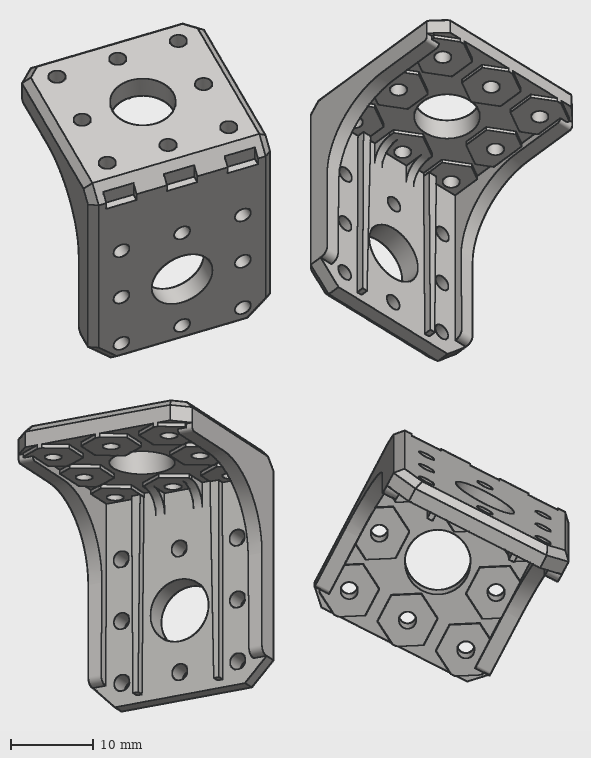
import cadquery as cq
import math

LENGTH = 24.0
WIDTH = 24.0
HEIGHT = 30.0
THICKNESS = 3.0
DRAFT = math.tan(math.radians(0.5))
OUTER_CHAMFER = 1.0
BEND_CHAMFER = 2.0
PLATE_CORNER = 2.0
WALL_CORNER = 3.0

CHEEK_DEPTH = 4.0
CHEEK_THICKNESS = 2.0
CHEEK_RADIUS = 10.0
CHEEK_FRONT_ROUND = 0.5
CHEEK_FOOT_ROUND = 1.0

PITCH = 8.0
HOLE_DIAMETER = 2.1
CENTRE_DIAMETER = 8.0
PLATE_CENTRE = (11.5, 0.0)
WALL_CENTRE = (0.0, 11.0)
GRID_STEPS = (-1, 0, 1)

PAD_FLATS = 6.36
PAD_HEIGHT = 0.5

RIB_DEPTH = 1.0
RIB_FOOT_Z = 1.0
RIB_TOP_INNER_Y = 4.82
RIB_TOP_OUTER_Y = 6.0
RIB_FOOT_INNER_Y = 5.22
RIB_FOOT_OUTER_Y = 5.94

GUSSET_INNER_Y = 2.0
GUSSET_WIDTH = 1.2
GUSSET_RADIUS = 2.7

NOTCH_WIDTH = 4.0
NOTCH_DEPTH = 1.0

HALF_WIDTH = WIDTH / 2
PLATE_BOTTOM = HEIGHT - THICKNESS
PAD_BOTTOM = PLATE_BOTTOM - PAD_HEIGHT
EMBED_X = LENGTH - OUTER_CHAMFER


def wall_inner_x(z):
    """X of the drafted inner face of the wall at height z."""
    return LENGTH - THICKNESS + (PLATE_BOTTOM - z) * DRAFT


def xz_prism(profile, y_min, y_max):
    """Extrude a closed XZ profile from y_min to y_max."""
    return profile.extrude(y_min - y_max).translate((0, y_min, 0))


def ring_points(centre):
    """The eight grid points around a centre."""
    return [
        (centre[0] + column * PITCH, centre[1] + row * PITCH)
        for column in GRID_STEPS
        for row in GRID_STEPS
        if (column, row) != (0, 0)
    ]


def make_block():
    """Solid envelope with clipped corners and chamfered top, bend and back faces."""
    profile = (
        cq.Workplane("XZ")
        .lineTo(0, HEIGHT)
        .lineTo(LENGTH - BEND_CHAMFER, HEIGHT)
        .lineTo(LENGTH, HEIGHT - BEND_CHAMFER)
        .lineTo(LENGTH, 0)
        .close()
    )
    block = xz_prism(profile, -HALF_WIDTH, HALF_WIDTH)
    block = block.edges("|Z and <X").chamfer(PLATE_CORNER)
    block = block.edges("|X and <Z").chamfer(WALL_CORNER)

    bend_edges = block.faces(">(1, 0, 1)").edges("|Y").vals()
    outer_edges = block.faces(">Z or >X or >(1, 0, 1)").edges().vals()
    chamfered = [edge for edge in outer_edges if not any(edge.isSame(kept) for kept in bend_edges)]
    return block.newObject(chamfered).chamfer(OUTER_CHAMFER)


def make_angle():
    """Plain plate and wall; the wall's inner face is drafted."""
    profile = (
        cq.Workplane("XZ")
        .moveTo(0, HEIGHT)
        .lineTo(LENGTH, HEIGHT)
        .lineTo(LENGTH, 0)
        .lineTo(wall_inner_x(0), 0)
        .lineTo(wall_inner_x(PLATE_BOTTOM), PLATE_BOTTOM)
        .lineTo(0, PLATE_BOTTOM)
        .close()
    )
    return xz_prism(profile, -HALF_WIDTH, HALF_WIDTH)


def make_cheek():
    """Side cheek at +Y with a large arc, drafted on its inner face."""
    front_x = PLATE_CORNER
    inner_x = LENGTH - CHEEK_DEPTH
    lower_z = HEIGHT - CHEEK_DEPTH
    foot_z = WALL_CORNER
    profile = (
        cq.Workplane("XZ")
        .moveTo(front_x, HEIGHT)
        .lineTo(front_x, lower_z + CHEEK_FRONT_ROUND)
        .radiusArc((front_x + CHEEK_FRONT_ROUND, lower_z), -CHEEK_FRONT_ROUND)
        .lineTo(inner_x - CHEEK_RADIUS, lower_z)
        .radiusArc((inner_x, lower_z - CHEEK_RADIUS), CHEEK_RADIUS)
        .lineTo(inner_x, foot_z + CHEEK_FOOT_ROUND)
        .radiusArc((inner_x + CHEEK_FOOT_ROUND, foot_z), -CHEEK_FOOT_ROUND)
        .lineTo(LENGTH, foot_z)
        .lineTo(LENGTH, HEIGHT)
        .close()
    )
    inner_y = HALF_WIDTH - CHEEK_THICKNESS
    drafted_zone = (
        cq.Workplane("YZ")
        .moveTo(inner_y, PLATE_BOTTOM)
        .lineTo(inner_y, HEIGHT)
        .lineTo(HALF_WIDTH, HEIGHT)
        .lineTo(HALF_WIDTH, 0)
        .lineTo(inner_y + PLATE_BOTTOM * DRAFT, 0)
        .close()
        .extrude(LENGTH)
    )
    return xz_prism(profile, 0, HALF_WIDTH).intersect(drafted_zone)


def make_pads():
    """Hexagonal pads around the plate's small holes, a corner of each pointing along X."""
    corner_diameter = PAD_FLATS / math.cos(math.pi / 6)
    pads = cq.Workplane("XY", origin=(0, 0, PAD_BOTTOM)).pushPoints(ring_points(PLATE_CENTRE))
    return pads.polygon(6, corner_diameter).extrude(THICKNESS)


def make_rib():
    """Tapering vertical rib at +Y, its front face parallel to the drafted wall."""
    outline = (
        cq.Workplane("YZ")
        .moveTo(RIB_TOP_INNER_Y, PLATE_BOTTOM)
        .lineTo(RIB_TOP_OUTER_Y, PLATE_BOTTOM)
        .lineTo(RIB_FOOT_OUTER_Y, RIB_FOOT_Z)
        .lineTo(RIB_FOOT_INNER_Y, RIB_FOOT_Z)
        .close()
        .extrude(LENGTH)
    )
    layer = (
        cq.Workplane("XZ")
        .moveTo(wall_inner_x(PLATE_BOTTOM) - RIB_DEPTH, PLATE_BOTTOM)
        .lineTo(EMBED_X, PLATE_BOTTOM)
        .lineTo(EMBED_X, RIB_FOOT_Z)
        .lineTo(wall_inner_x(RIB_FOOT_Z) - RIB_DEPTH, RIB_FOOT_Z)
        .close()
    )
    return outline.intersect(xz_prism(layer, 0, HALF_WIDTH))


def make_gusset():
    """Concave gusset at +Y blending the pads into the wall."""
    end_z = PAD_BOTTOM - GUSSET_RADIUS
    end_x = wall_inner_x(end_z)
    profile = (
        cq.Workplane("XZ")
        .moveTo(end_x - GUSSET_RADIUS, PLATE_BOTTOM)
        .lineTo(end_x - GUSSET_RADIUS, PAD_BOTTOM)
        .radiusArc((end_x, end_z), GUSSET_RADIUS)
        .lineTo(EMBED_X, end_z)
        .lineTo(EMBED_X, PLATE_BOTTOM)
        .close()
    )
    return xz_prism(profile, GUSSET_INNER_Y, GUSSET_INNER_Y + GUSSET_WIDTH)


def make_hole_grid(plane, centre, depth):
    """Cutter with one large central hole ringed by eight small ones."""
    small = cq.Workplane(plane).pushPoints(ring_points(centre)).circle(HOLE_DIAMETER / 2).extrude(depth)
    large = cq.Workplane(plane).center(*centre).circle(CENTRE_DIAMETER / 2).extrude(depth)
    return small.union(large)


def make_notches():
    """Bend notches with a flat floor level with the underside of the plate."""
    notches = cq.Workplane("XY", origin=(LENGTH - NOTCH_DEPTH / 2, 0, PLATE_BOTTOM))
    notches = notches.pushPoints([(0, step * PITCH) for step in GRID_STEPS])
    return notches.rect(NOTCH_DEPTH, NOTCH_WIDTH).extrude(THICKNESS)


body = make_angle().union(make_pads())
for feature in (make_cheek(), make_rib(), make_gusset()):
    body = body.union(feature).union(feature.mirror("XZ"))
body = body.intersect(make_block())
body = body.cut(make_hole_grid("XY", PLATE_CENTRE, HEIGHT))
body = body.cut(make_hole_grid("YZ", WALL_CENTRE, LENGTH))
result = body.cut(make_notches())